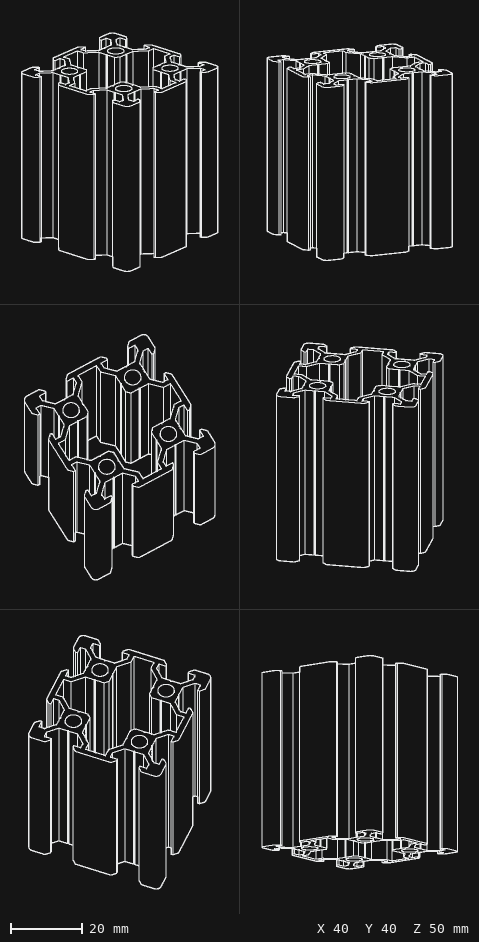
import cadquery as cq
import math

length = 50.0
side = 40.0
half_side = side / 2
core_offset = side / 4
corner_radius = 1.5

core_half = 3.9
bore_diameter = 4.6
strut_thickness = 1.5
strut_shift = strut_thickness / math.sqrt(2)
core_corner = core_half - strut_shift

groove_half_width = 0.2
groove_depth = 0.2

wall = 1.8
slot_mouth_half = 4.6
slot_throat_half = 3.4
slot_cavity_half = 5.5
mouth_radius = 0.7
slot_bevel_depth = slot_mouth_half - slot_throat_half
web_thickness = 1.5


def mirror_outline(points):
    """Close a half outline by mirroring it about the Y axis."""
    return points + [(-x, y) for x, y in reversed(points)]


def full_length_prism(points):
    """Extrude a closed outline over the full length."""
    return cq.Workplane("XY").polyline(points).close().extrude(length)


def quarter_turns(shape, count):
    """Rotate a shape about the Z axis by a number of 90 degree turns."""
    return shape.rotate((0, 0, 0), (0, 0, 1), 90 * count)


def slot_cutter():
    """Beveled mouth, undercut and 45 degree sides, centred on a core and opening toward +Y."""
    face = half_side
    undercut = face - wall
    floor = core_offset + core_half
    half_outline = [
        (slot_mouth_half, face),
        (slot_throat_half, face - slot_bevel_depth),
        (slot_throat_half, undercut),
        (slot_cavity_half, undercut),
        (slot_cavity_half, core_offset + slot_cavity_half + strut_shift),
        (core_corner, floor),
    ]
    return full_length_prism(mirror_outline(half_outline))


def is_mouth_edge(edge):
    """True where an outer face meets a slot bevel; the corner rounding lies farther along the face."""
    tolerance = 0.005
    center = edge.Center()
    along_face, from_axis = sorted((abs(center.x), abs(center.y)))
    on_outer_face = abs(from_axis - half_side) < tolerance
    return on_outer_face and along_face < core_offset + slot_mouth_half + tolerance


def central_cavity():
    """Cross-shaped hollow bounded by the walls, webs, struts and cores."""
    arm_end = half_side - wall
    web_reach = slot_cavity_half + web_thickness
    arm_half = core_offset - web_reach
    arm_shoulder = core_offset + web_reach - strut_shift
    core_face = core_offset - core_half
    upper = [
        (arm_half, arm_end),
        (arm_half, arm_shoulder),
        (core_face, core_offset + core_corner),
        (core_face, core_offset - core_corner),
    ]
    quadrant = upper + [(y, x) for x, y in reversed(upper)]
    right_half = quadrant + [(x, -y) for x, y in reversed(quadrant)]
    return full_length_prism(mirror_outline(right_half))


def groove_cutter():
    """V groove in the +Y face of a core centred on the origin."""
    return full_length_prism([
        (groove_half_width, core_half),
        (0, core_half - groove_depth),
        (-groove_half_width, core_half),
    ])


body = cq.Workplane("XY").rect(side, side).extrude(length)
body = body.edges("|Z").fillet(corner_radius)
body = body.cut(central_cavity())

for turn in range(4):
    for offset in (-core_offset, core_offset):
        slot = slot_cutter().translate((offset, 0, 0))
        body = body.cut(quarter_turns(slot, turn))

body = body.edges("|Z").filter(is_mouth_edge).fillet(mouth_radius)

for core_x in (-core_offset, core_offset):
    for core_y in (-core_offset, core_offset):
        for turn in range(4):
            groove = quarter_turns(groove_cutter(), turn)
            body = body.cut(groove.translate((core_x, core_y, 0)))

bores = (
    cq.Workplane("XY")
    .rect(2 * core_offset, 2 * core_offset, forConstruction=True)
    .vertices()
    .circle(bore_diameter / 2)
    .extrude(length)
)
result = body.cut(bores)